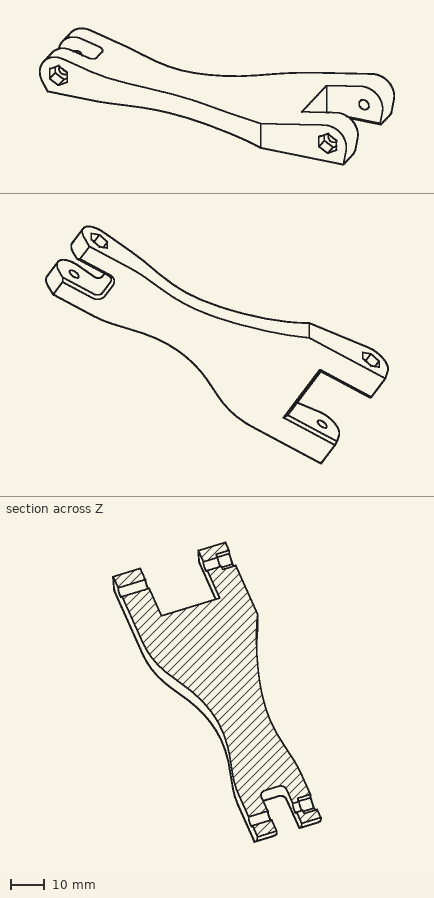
import cadquery as cq
import math

length = 102.0
width = 35.4
eye_radius = 6.0
height = 2 * eye_radius

waist_height = 6.5
waist_start = 42.5
waist_end = 55.7
narrow_blend_x = 12.8
wide_blend_x = 77.5
narrow_top_slope = math.radians(14.2)
wide_top_slope = math.radians(10.6)
narrow_end_tilt = math.radians(30)
wide_end_tilt = math.radians(10)
narrow_eye_x = eye_radius
wide_eye_x = length - eye_radius

narrow_width = 20.0
narrow_side_end = 16.9
wide_left_shoulder_x = 77.5
wide_right_shoulder_x = 74.5

narrow_slot_width = 7.8
narrow_slot_depth = 14.8
narrow_slot_corner = 1.7
wide_slot_width = 18.2
wide_slot_depth = 18.1
slot_chamfer = 0.9

bolt_diameter = 3.2
nut_across_flats = 5.6
nut_depth = 4.1


def eye_point(eye_x, angle):
    """Point on an eye's rim, with the angle measured from +X towards +Z."""
    return (eye_x + eye_radius * math.cos(angle), eye_radius + eye_radius * math.sin(angle))


def bottom_corner_offset(tilt):
    """Distance from an eye centre to where its tilted end face meets the bottom."""
    return eye_radius * math.tan((math.pi / 2 - tilt) / 2)


def side_profile():
    """Extruded X-Z profile across the full width."""
    narrow_top = eye_point(narrow_eye_x, math.pi / 2 - narrow_top_slope)
    narrow_tip = eye_point(narrow_eye_x, math.pi)
    narrow_low = eye_point(narrow_eye_x, math.pi + narrow_end_tilt)
    wide_top = eye_point(wide_eye_x, math.pi / 2 + wide_top_slope)
    wide_tip = eye_point(wide_eye_x, 0)
    wide_low = eye_point(wide_eye_x, -wide_end_tilt)
    narrow_blend_z = narrow_top[1] - (narrow_blend_x - narrow_top[0]) * math.tan(narrow_top_slope)
    wide_blend_z = wide_top[1] - (wide_top[0] - wide_blend_x) * math.tan(wide_top_slope)
    narrow_run = waist_start - narrow_blend_x
    narrow_mid_run = narrow_run / (2 * math.cos(narrow_top_slope / 2))
    narrow_mid_rise = narrow_mid_run * math.tan(narrow_top_slope / 4)
    return (
        cq.Workplane("XZ")
        .moveTo(narrow_eye_x - bottom_corner_offset(narrow_end_tilt), 0)
        .lineTo(*narrow_low)
        .threePointArc(narrow_tip, narrow_top)
        .lineTo(narrow_blend_x, narrow_blend_z)
        .threePointArc(
            (waist_start - narrow_mid_run, waist_height + narrow_mid_rise),
            (waist_start, waist_height),
        )
        .lineTo(waist_end, waist_height)
        .tangentArcPoint((wide_blend_x, wide_blend_z), relative=False)
        .lineTo(*wide_top)
        .threePointArc(wide_tip, wide_low)
        .lineTo(wide_eye_x + bottom_corner_offset(wide_end_tilt), 0)
        .close()
        .extrude(width / 2, both=True)
    )


def plan_outline():
    """Extruded X-Y outline; the two waisted flanks follow different curves."""
    left_flank = [
        (26.1, 8.6),
        (38.2, 6.6),
        (48.2, 7.6),
        (55.7, 10.3),
        (64.9, 15.1),
        (wide_left_shoulder_x, width / 2),
    ]
    right_flank = [
        (59.3, -11.9),
        (48.2, -9.2),
        (35.7, -8.1),
        (26.1, -9.1),
        (narrow_side_end, -narrow_width / 2),
    ]
    shoulder_slope = (-1, 0.5)
    return (
        cq.Workplane("XY")
        .moveTo(0, -narrow_width / 2)
        .lineTo(0, narrow_width / 2)
        .lineTo(narrow_side_end, narrow_width / 2)
        .spline(left_flank, tangents=[(1, 0), (1, 0)], includeCurrent=True)
        .lineTo(length, width / 2)
        .lineTo(length, -width / 2)
        .lineTo(wide_right_shoulder_x, -width / 2)
        .spline(right_flank, tangents=[shoulder_slope, (-1, 0)], includeCurrent=True)
        .close()
        .extrude(height)
    )


def slot_outline(center_x, depth, slot_width, corner):
    """Rectangle reaching the given depth to both sides of an end of the part."""
    outline = cq.Sketch().rect(2 * depth, slot_width)
    if corner > 0:
        outline = outline.vertices().fillet(corner)
    return cq.Workplane("XY").center(center_x, 0).placeSketch(outline)


def fork_slot(center_x, depth, slot_width, corner=0):
    """Vertical slot cutter, flared by a 45 degree chamfer at the bottom."""
    slot = slot_outline(center_x, depth, slot_width, corner).extrude(height)
    flare_corner = corner + slot_chamfer if corner > 0 else 0
    flare = slot_outline(
        center_x, depth + slot_chamfer, slot_width + 2 * slot_chamfer, flare_corner
    ).extrude(slot_chamfer, taper=45)
    return slot.union(flare)


def pivot(eye_x, fork_width):
    """Bolt hole through both arms and the nut recess in the -Y face."""
    nut_across_corners = nut_across_flats / math.cos(math.pi / 6)
    plane = cq.Workplane("XZ", origin=(eye_x, fork_width / 2, eye_radius))
    bolt = plane.circle(bolt_diameter / 2).extrude(fork_width)
    nut = (
        plane.workplane(offset=fork_width - nut_depth)
        .transformed(rotate=(0, 0, 90))
        .polygon(6, nut_across_corners)
        .extrude(nut_depth)
    )
    return bolt.union(nut)


body = side_profile().intersect(plan_outline())
body = body.cut(fork_slot(0, narrow_slot_depth, narrow_slot_width, narrow_slot_corner))
body = body.cut(fork_slot(length, wide_slot_depth, wide_slot_width))
for eye_x, fork_width in [(narrow_eye_x, narrow_width), (wide_eye_x, width)]:
    body = body.cut(pivot(eye_x, fork_width))
result = body